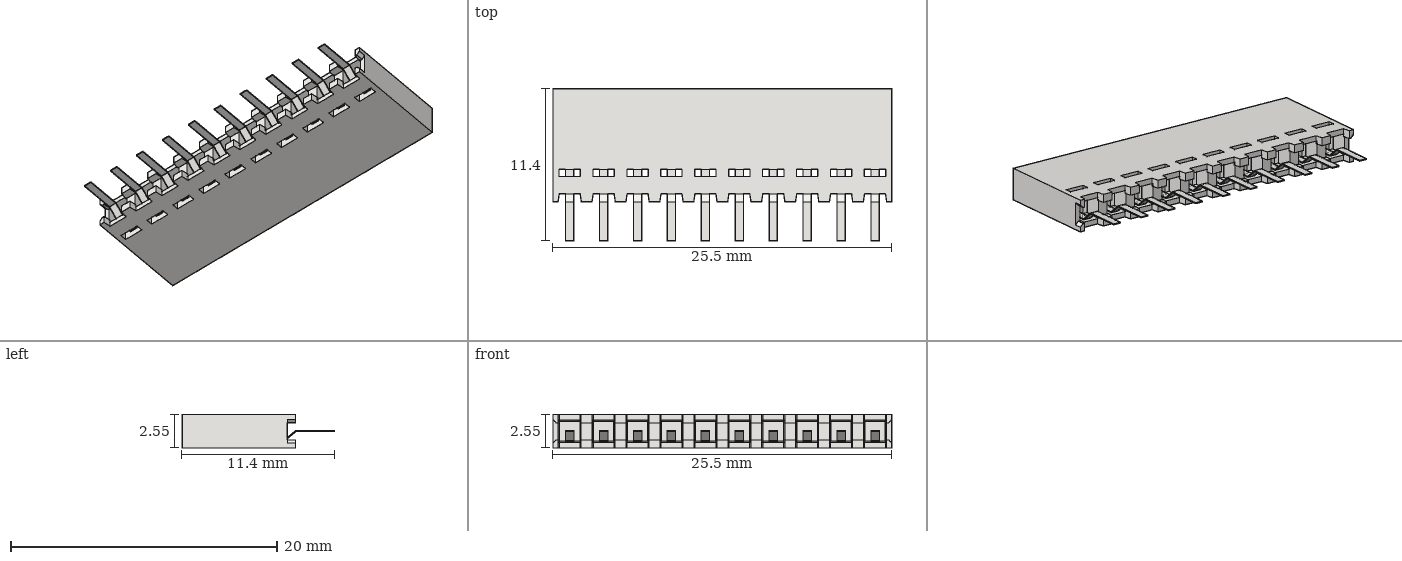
import cadquery as cq
import math

cell_count = 10
pitch = 2.55
length = cell_count * pitch
height = 2.55
housing_depth = 8.48

rebate_depth = 0.6
lip_thickness = 0.64
end_flare = 0.25

mouth_width = 1.73
notch_width = 1.55
mouth_height = 1.68
cell_draft = 0.15
window_width = 1.57
window_start = 1.9
window_length = 0.53
cell_end = window_start + window_length

pin_width = 0.64
pin_thickness = 0.08
pin_reach = 2.92
tail_z = 1.25
bend_angle = math.radians(40)
pin_floor = 0.5

cell_centres = [(i + 0.5) * pitch - length / 2 for i in range(cell_count)]


def front_channel():
    """Channel along the front face that flares above and below at both ends."""
    half = length / 2
    low = lip_thickness
    high = height - lip_thickness
    return (
        cq.Workplane("XZ")
        .moveTo(-half, low - end_flare)
        .lineTo(-half + end_flare, low)
        .lineTo(half - end_flare, low)
        .lineTo(half, low - end_flare)
        .lineTo(half, high + end_flare)
        .lineTo(half - end_flare, high)
        .lineTo(-half + end_flare, high)
        .lineTo(-half, high + end_flare)
        .close()
        .extrude(-rebate_depth)
    )


def cell_cutter():
    """Tapered notch through both lips, drafted blind cell behind it and window through the housing."""
    notch = (
        cq.Workplane("XY")
        .moveTo(-mouth_width / 2, 0)
        .lineTo(mouth_width / 2, 0)
        .lineTo(notch_width / 2, rebate_depth)
        .lineTo(-notch_width / 2, rebate_depth)
        .close()
        .extrude(height)
    )
    cavity = (
        cq.Workplane("XZ", origin=(0, rebate_depth, height / 2))
        .rect(mouth_width, mouth_height)
        .workplane(offset=rebate_depth - cell_end)
        .rect(mouth_width - 2 * cell_draft, mouth_height - 2 * cell_draft)
        .loft(ruled=True)
    )
    window = (
        cq.Workplane("XY", origin=(0, window_start, 0))
        .box(window_width, window_length, height, centered=(True, False, False))
    )
    return notch.union(cavity).union(window)


def contact_pin():
    """Strip lying in the cell floor, rising at a slope to the front and ending in a straight tail."""
    bend_shift = pin_thickness * math.tan(bend_angle / 2)
    slope_top = -bend_shift
    slope_foot = slope_top + (tail_z - pin_floor) / math.tan(bend_angle)
    return (
        cq.Workplane("YZ")
        .moveTo(-pin_reach, tail_z)
        .lineTo(slope_top, tail_z)
        .lineTo(slope_foot, pin_floor)
        .lineTo(cell_end, pin_floor)
        .lineTo(cell_end, pin_floor + pin_thickness)
        .lineTo(slope_foot + bend_shift, pin_floor + pin_thickness)
        .lineTo(slope_top + bend_shift, tail_z + pin_thickness)
        .lineTo(-pin_reach, tail_z + pin_thickness)
        .close()
        .extrude(pin_width / 2, both=True)
    )


housing = cq.Workplane("XY").box(length, housing_depth, height, centered=(True, False, False))
housing = housing.cut(front_channel())
cutter = cell_cutter()
pin = contact_pin()
for centre in cell_centres:
    housing = housing.cut(cutter.translate((centre, 0, 0)))
    housing = housing.union(pin.translate((centre, 0, 0)))

result = housing